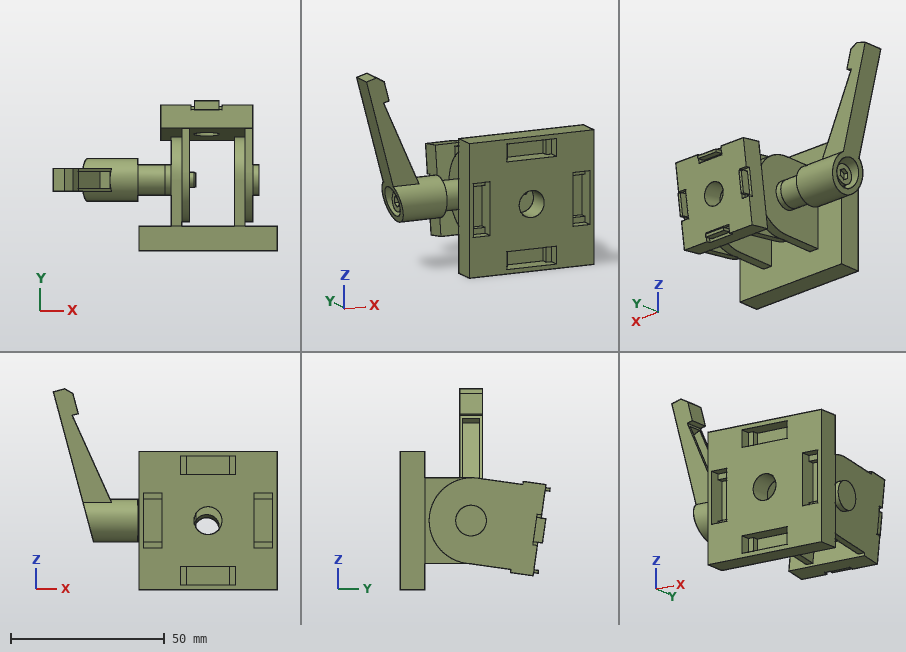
import cadquery as cq
import math


base_side = 45.0
base_thickness = 8.0
pivot_distance = 15.0
base_hole_diameter = 9.0
slot_length = 18.0
slot_width = 6.0
slot_edge_distance = 1.5
slot_ledge_length = 2.0
slot_ledge_depth = 3.7
slot_depth = 6.0

ear_radius = 14.0
base_ear_thickness = 3.5
tilt_ear_thickness = 2.55
ear_spacing = 20.5
left_ear_x = -12.0
tilt_ear_shift = 0.4

tilt_angle = 8
tilt_side = 30.0
tilt_thickness = 7.5
tilt_hole_diameter = 8.15
tab_length = 8.0
tab_thickness = 1.0
tab_clearance = 1.0
tab_projection = 1.5
recess_depth = 1.5

fitting_diameter = 10.0
stud_diameter = 5.0
washer_thickness = 2.05
stud_projection = 2.05
stud_chamfer_length = 0.6
stud_chamfer_height = 0.3
pin_head_thickness = 2.05
screw_diameter = 7.1
screw_height = 4.0
hex_flat_width = 3.4
hex_depth = 1.5

hub_diameter = 14.0
hub_length = 16.3
insert_visible_length = 8.75
insert_recess = 5.6
slant_angle = 15
arm_length = 43.3
arm_width = 7.5
knob_length = 9.0
knob_thickness = 6.05
knob_chamfer = 2.2
neck_thickness = 4.0
taper_angle = 24.3
pocket_margin = 1.0
pocket_foot_margin = 1.4
pocket_depth = 3.6

washer_x = left_ear_x - washer_thickness
hub_end_x = washer_x - insert_visible_length
slant_x = hub_end_x - hub_length
insert_end_x = slant_x + insert_recess
left_tilt_ear_x = left_ear_x + base_ear_thickness
stud_end_x = left_tilt_ear_x + tilt_ear_thickness + stud_projection
right_ear_x = left_ear_x + ear_spacing
right_tilt_ear_x = right_ear_x + base_ear_thickness
right_outer_x = right_tilt_ear_x + tilt_ear_thickness


def cylinder_x(start, end, diameter):
    """Cylinder on the hinge axis between two X stations."""
    return cq.Workplane("YZ", origin=(start, 0, 0)).circle(diameter / 2).extrude(end - start)


def box_between(low, high):
    """Box given by its lowest and highest corners."""
    size = [b - a for a, b in zip(low, high)]
    return cq.Workplane("XY").box(*size, centered=False).translate(low)


def ear(start, thickness, root_y, center_y):
    """Flat ear from root_y to a rounded end about center_y, with the hinge hole."""
    side = math.copysign(ear_radius, center_y - root_y)
    blank = (
        cq.Workplane("YZ", origin=(start, 0, 0))
        .moveTo(root_y, -ear_radius)
        .lineTo(center_y, -ear_radius)
        .threePointArc((center_y + side, 0), (center_y, ear_radius))
        .lineTo(root_y, ear_radius)
        .close()
        .extrude(thickness)
    )
    return blank.cut(cylinder_x(start, start + thickness, stud_diameter))


def base_slot():
    """Stepped slot along the top edge of the base plate."""
    outer_y = -pivot_distance - base_thickness
    top = base_side / 2 - slot_edge_distance
    bottom = top - slot_width
    half_mouth = slot_length / 2
    half_inner = half_mouth - slot_ledge_length
    mouth = box_between((-half_mouth, outer_y, bottom), (half_mouth, outer_y + slot_ledge_depth, top))
    inner = box_between((-half_inner, outer_y, bottom), (half_inner, outer_y + slot_depth, top))
    return mouth.union(inner)


def make_base():
    half = base_side / 2
    outer_y = -pivot_distance - base_thickness
    base = box_between((-half, outer_y, -half), (half, -pivot_distance, half))
    for start in (left_ear_x, right_ear_x):
        base = base.union(ear(start, base_ear_thickness, -pivot_distance, 0))
    slot = base_slot()
    for turn in range(4):
        base = base.cut(slot.rotate((0, 0, 0), (0, 1, 0), 90 * turn))
    hole = cq.Workplane("XZ", origin=(0, -pivot_distance, 0)).circle(base_hole_diameter / 2)
    return base.cut(hole.extrude(base_thickness))


def make_tilt_bracket():
    """Plate with two ears and four edge tabs, turned about the hinge axis."""
    half = tilt_side / 2
    center_x = right_outer_x - half
    outer_y = pivot_distance + tilt_thickness
    recess_y = outer_y - recess_depth
    half_tab = tab_length / 2
    half_recess = half_tab + tab_clearance
    tab_top = half - tab_clearance
    tab_bottom = tab_top - tab_thickness
    recess = box_between((-half_recess, recess_y, tab_bottom - tab_clearance), (half_recess, outer_y, half))
    tab = box_between((-half_tab, recess_y, tab_bottom), (half_tab, outer_y + tab_projection, tab_top))

    plate = box_between((-half, pivot_distance, -half), (half, outer_y, half))
    for turn in range(4):
        plate = plate.cut(recess.rotate((0, 0, 0), (0, 1, 0), 90 * turn))
        plate = plate.union(tab.rotate((0, 0, 0), (0, 1, 0), 90 * turn))
    hole = cq.Workplane("XZ", origin=(0, outer_y, 0)).circle(tilt_hole_diameter / 2)
    bracket = plate.cut(hole.extrude(tilt_thickness)).translate((center_x, 0, 0))

    for start in (left_tilt_ear_x, right_tilt_ear_x):
        bracket = bracket.union(ear(start, tilt_ear_thickness, pivot_distance, tilt_ear_shift))
    return bracket.rotate((0, 0, 0), (1, 0, 0), -tilt_angle)


def arm_point(across, along):
    """(X, Z) of a point measured across and along the arm from the slanted face on the hinge axis."""
    slant = math.radians(slant_angle)
    x = slant_x + across * math.cos(slant) - along * math.sin(slant)
    z = across * math.sin(slant) + along * math.cos(slant)
    return x, z


def make_lever():
    arm_root_z = math.sqrt(hub_diameter**2 - arm_width**2) / 2
    arm_foot_z = 0.75 * arm_root_z
    taper = math.radians(taper_angle)
    neck_x, neck_z = arm_point(neck_thickness, arm_length - knob_length)
    foot_x = neck_x + (neck_z - arm_foot_z) * math.tan(taper)

    hub_start_x = slant_x - hub_diameter
    hub = cylinder_x(hub_start_x, hub_end_x, hub_diameter)
    outside = (
        cq.Workplane("XZ")
        .polyline([
            arm_point(0, hub_diameter),
            arm_point(0, -hub_diameter),
            arm_point(-2 * hub_diameter, -hub_diameter),
            arm_point(-2 * hub_diameter, hub_diameter),
        ])
        .close()
        .extrude(hub_diameter, both=True)
    )
    hub = hub.cut(outside)

    arm = (
        cq.Workplane("XZ")
        .polyline([
            arm_point(0, arm_length),
            arm_point(knob_thickness - knob_chamfer, arm_length),
            arm_point(knob_thickness, arm_length - knob_chamfer),
            arm_point(knob_thickness, arm_length - knob_length),
            (neck_x, neck_z),
            (foot_x, arm_foot_z),
            (slant_x - arm_foot_z * math.tan(math.radians(slant_angle)), arm_foot_z),
        ])
        .close()
        .extrude(arm_width / 2, both=True)
    )

    taper_length = (neck_z - arm_root_z) / math.cos(taper)
    pocket = (
        box_between(
            (-pocket_depth, pocket_margin - arm_width / 2, pocket_foot_margin - taper_length),
            (pocket_depth, arm_width / 2 - pocket_margin, -pocket_margin),
        )
        .rotate((0, 0, 0), (0, 1, 0), -taper_angle)
        .translate((neck_x, 0, neck_z))
    )
    return hub.union(arm).cut(pocket).cut(cylinder_x(hub_start_x, hub_end_x, fitting_diameter))


def make_insert():
    """Round body in the lever bore with the clamping stud through the left ears."""
    stud = cylinder_x(washer_x, stud_end_x, stud_diameter)
    stud = stud.faces(">X").chamfer(stud_chamfer_length, stud_chamfer_height)
    return cylinder_x(insert_end_x, washer_x, fitting_diameter).union(stud)


def make_screw():
    head = cylinder_x(insert_end_x - screw_height, insert_end_x, screw_diameter)
    hex_corner_diameter = hex_flat_width / math.cos(math.radians(30))
    socket = (
        cq.Workplane("YZ", origin=(insert_end_x - screw_height, 0, 0))
        .transformed(rotate=(0, 0, 90))
        .polygon(6, hex_corner_diameter)
        .extrude(hex_depth)
    )
    return head.cut(socket)


def make_washer():
    washer = cylinder_x(washer_x, left_ear_x, fitting_diameter)
    return washer.cut(cylinder_x(washer_x, left_ear_x, stud_diameter))


def make_pin():
    shank = cylinder_x(right_ear_x, right_outer_x, stud_diameter)
    return shank.union(cylinder_x(right_outer_x, right_outer_x + pin_head_thickness, fitting_diameter))


base = make_base()
tilt_bracket = make_tilt_bracket()
lever = make_lever()
insert = make_insert()
screw = make_screw()
washer = make_washer()
pin = make_pin()

result = cq.Compound.makeCompound([
    base.val(),
    tilt_bracket.val(),
    lever.val(),
    insert.val(),
    screw.val(),
    washer.val(),
    pin.val(),
])